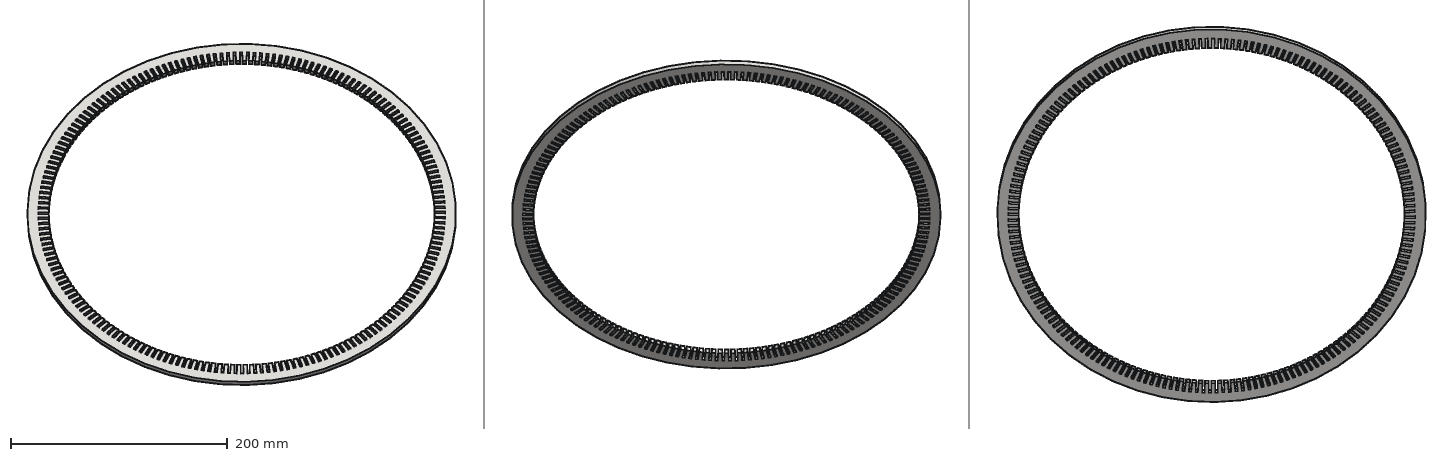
import cadquery as cq
import math

outer_diameter = 395.5
thickness = 5.0

tooth_count = 192
tip_diameter = 355.5
root_diameter = 375.5
slot_width = 2.15

outer_radius = outer_diameter / 2
tip_radius = tip_diameter / 2
root_radius = root_diameter / 2
middle_radius = (tip_radius + root_radius) / 2

pitch_angle = 2 * math.pi / tooth_count
slot_angle = slot_width / middle_radius
first_tooth_angle = 0.0


def polar_point(radius, angle):
    """Point at a radius and an angle in radians about the ring axis."""
    return (radius * math.cos(angle), radius * math.sin(angle))


def toothed_bore():
    """Closed bore outline: tip arcs and root arcs joined by radial tooth flanks."""
    half_tooth = (pitch_angle - slot_angle) / 2
    outline = cq.Workplane("XY").moveTo(*polar_point(tip_radius, first_tooth_angle - half_tooth))
    for tooth in range(tooth_count):
        tooth_angle = first_tooth_angle + tooth * pitch_angle
        slot_start = tooth_angle + half_tooth
        slot_middle = tooth_angle + pitch_angle / 2
        slot_end = slot_start + slot_angle
        outline = (
            outline.threePointArc(polar_point(tip_radius, tooth_angle), polar_point(tip_radius, slot_start))
            .lineTo(*polar_point(root_radius, slot_start))
            .threePointArc(polar_point(root_radius, slot_middle), polar_point(root_radius, slot_end))
        )
        if tooth < tooth_count - 1:
            outline = outline.lineTo(*polar_point(tip_radius, slot_end))
    return outline.close().extrude(thickness)


disc = cq.Workplane("XY").circle(outer_radius).extrude(thickness)
result = disc.cut(toothed_bore())